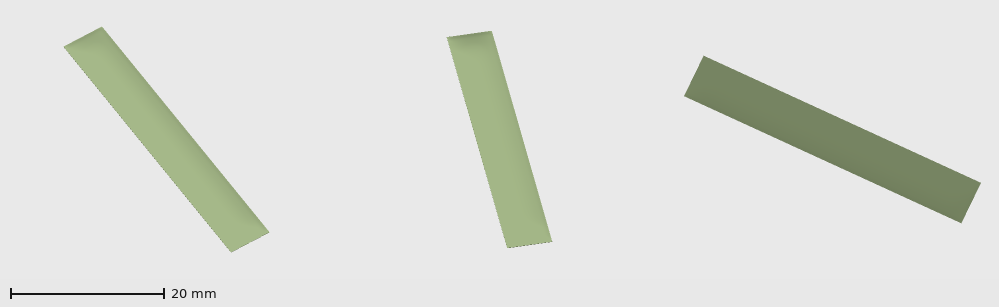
import cadquery as cq

length = 40.0
width = 6.0
thickness = 0.05

result = cq.Workplane("XY").box(length, width, thickness)